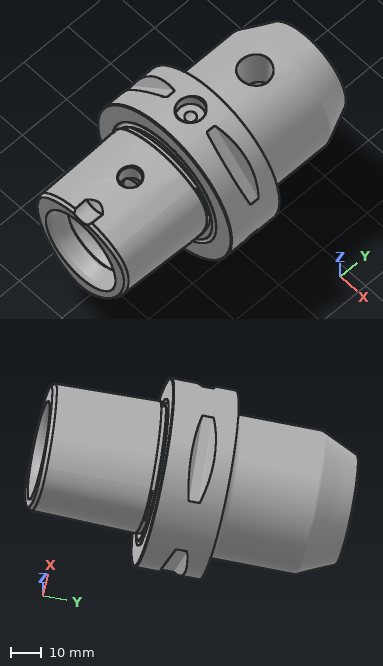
import cadquery as cq
import math

length = 103.0
nose_end = length / 2
shank_end = -length / 2

flange_radius = 31.5
flange_front = -13.5
flange_back = 8.4
flange_chamfer = 0.3

nose_radius = 24.0
nose_tip_radius = 18.3
nose_cone_start = 38.9
nose_tip_chamfer = 0.3
nose_shoulder_fillet = 1.5
nose_root_fillet = 3.0

ring_radius = 22.8
ring_height = 0.3
groove_outer_radius = 24.4
groove_bottom_radius = 23.3
groove_depth = 0.4

shank_start = -15.3
shank_radius = 22.0
shank_taper = 0.025
lobe_height = 1.3
lobe_count = 3
lobe_direction = math.radians(-90)
lobe_half_angle = math.radians(27)
stretch_steps = 16
shank_chamfer_length = 1.3
shank_chamfer_inset = 0.8

neck_inset = 0.2
neck_radius = 22.6
neck_chamfer = 0.7

mouth_radius = 16.4
mouth_inner_radius = 15.2
mouth_chamfer_end = -50.0
lip_radius = 13.7
lip_start = -45.3
lip_end = -43.9
lip_fillet = 1.0
clamp_groove_radius = 16.2
clamp_groove_start = -43.1
clamp_groove_end = -41.1
clamp_groove_fillet = 5.7
drawbar_radius = 13.8
drawbar_start = -37.6
drawbar_end = -24.7
thread_mouth_radius = 10.2
thread_radius = 9.0
thread_end = -8.2
tool_radius = 7.9

screw_y = 27.6
screw_radius = 6.1
chip_radius = 5.0
chip_depth = 4.6
chip_chamfer = 0.4
chip_dimple_radius = 2.1
drill_tip_half_angle = math.radians(59)
shank_hole_y = -29.0
shank_hole_radius = 3.9
shank_hole_chamfer = 0.5
shank_hole_floor = -drawbar_radius

notch_radius = 5.6
notch_floor = 18.0
notch_end = -45.1

slot_y = -1.5
slot_floor = 27.9
slot_floor_width = 3.7
slot_flank_angle = math.radians(29)
slot_corner_fillet = 0.5
slot_count = 4


def turned(points):
    """Revolve a closed (radius, y) outline about the Y axis."""
    return cq.Workplane("XY").polyline(points).close().revolve(360, (0, 0, 0), (0, 1, 0))


def circles_at(y):
    """Select the full circles about the Y axis that lie at the given y."""
    tolerance = 0.1
    low = (-tolerance, y - tolerance, -tolerance)
    high = (tolerance, y + tolerance, tolerance)
    return cq.selectors.BoxSelector(low, high)


def vertical_turned(points, y):
    """Revolve a closed (radius, z) outline about the vertical line x = 0 at the given y."""
    outline = cq.Workplane("XZ", origin=(0, y, 0)).polyline(points).close()
    return outline.revolve(360, (0, 0, 0), (0, 1, 0))


def polygon_wire(y, mean_radius):
    """Three-lobed constant-width outline at the given y, split where lobes and flats meet."""
    def point(angle):
        lobe_angle = lobe_count * (angle - lobe_direction)
        support = mean_radius + lobe_height * math.cos(lobe_angle)
        slope = -lobe_count * lobe_height * math.sin(lobe_angle)
        return cq.Vector(support * math.cos(angle) - slope * math.sin(angle), y,
                         support * math.sin(angle) + slope * math.cos(angle))

    def stretch(start, end):
        step = (end - start) / stretch_steps
        return cq.Edge.makeSpline([point(start + step * index) for index in range(stretch_steps + 1)])

    pitch = 2 * math.pi / lobe_count
    edges = []
    for lobe in range(lobe_count):
        middle = lobe_direction + lobe * pitch
        lobe_end = middle + lobe_half_angle
        edges.append(stretch(middle - lobe_half_angle, lobe_end))
        edges.append(stretch(lobe_end, middle + pitch - lobe_half_angle))
    return cq.Wire.assembleEdges(edges)


def polygon_frustum(y_start, radius_start, y_end, radius_end):
    wires = [polygon_wire(y_start, radius_start), polygon_wire(y_end, radius_end)]
    return cq.Workplane(cq.Solid.makeLoft(wires, True))


def make_nose():
    nose = turned([
        (0, flange_back),
        (nose_radius, flange_back),
        (nose_radius, nose_cone_start),
        (nose_tip_radius, nose_end),
        (0, nose_end),
    ])
    nose = nose.faces(">Y").edges().chamfer(nose_tip_chamfer)
    return nose.edges(circles_at(nose_cone_start)).fillet(nose_shoulder_fillet)


def make_nose_root():
    """Concave ring blending the nose into the flange."""
    bend = nose_root_fillet * (1 - math.sqrt(0.5))
    return (
        cq.Workplane("XY")
        .moveTo(0, flange_back)
        .lineTo(nose_radius + nose_root_fillet, flange_back)
        .threePointArc((nose_radius + bend, flange_back + bend),
                       (nose_radius, flange_back + nose_root_fillet))
        .lineTo(0, flange_back + nose_root_fillet)
        .close()
        .revolve(360, (0, 0, 0), (0, 1, 0))
    )


def make_flange():
    """Flange disc with a shallow round groove around a raised ring on its front face."""
    return (
        cq.Workplane("XY")
        .moveTo(0, flange_front - ring_height)
        .lineTo(ring_radius, flange_front - ring_height)
        .threePointArc((groove_bottom_radius, flange_front + groove_depth),
                       (groove_outer_radius, flange_front))
        .lineTo(flange_radius - flange_chamfer, flange_front)
        .lineTo(flange_radius, flange_front + flange_chamfer)
        .lineTo(flange_radius, flange_back)
        .lineTo(0, flange_back)
        .close()
        .revolve(360, (0, 0, 0), (0, 1, 0))
    )


def make_shank():
    """Tapered polygon with a chamfered end and a turned-down neck."""
    chamfer_start = shank_end + shank_chamfer_length
    end_radius = shank_radius - shank_taper * (shank_start - chamfer_start)
    body = polygon_frustum(shank_start, shank_radius, chamfer_start, end_radius)
    tip = polygon_frustum(chamfer_start, end_radius, shank_end, end_radius - shank_chamfer_inset)

    neck_polygon_radius = shank_radius - neck_inset
    neck_polygon = polygon_frustum(flange_front, neck_polygon_radius, shank_start, neck_polygon_radius)
    neck_envelope = turned([
        (0, flange_front),
        (neck_radius, flange_front),
        (neck_radius, shank_start + neck_chamfer),
        (neck_radius + neck_chamfer, shank_start),
        (0, shank_start),
    ])
    neck = neck_polygon.intersect(neck_envelope)
    return body.union(tip).union(neck)


def make_bores():
    """Clamping bore with its rounded undercut, thread bore and tool bore, all in line."""
    bores = turned([
        (0, shank_end),
        (mouth_radius, shank_end),
        (mouth_inner_radius, mouth_chamfer_end),
        (lip_radius, lip_start),
        (lip_radius, lip_end),
        (clamp_groove_radius, clamp_groove_start),
        (clamp_groove_radius, clamp_groove_end),
        (drawbar_radius, drawbar_start),
        (drawbar_radius, drawbar_end),
        (thread_mouth_radius, drawbar_end),
        (thread_radius, drawbar_end + thread_mouth_radius - thread_radius),
        (thread_radius, thread_end),
        (tool_radius, thread_end + thread_radius - tool_radius),
        (tool_radius, nose_end),
        (0, nose_end),
    ])
    bores = bores.edges(circles_at(lip_end)).fillet(lip_fillet)
    return bores.edges(circles_at(clamp_groove_end)).fillet(clamp_groove_fillet)


def make_clamp_screw_hole():
    """Plain hole from the nose surface into the tool bore."""
    return vertical_turned([
        (0, 0),
        (screw_radius, 0),
        (screw_radius, flange_radius),
        (0, flange_radius),
    ], screw_y)


def make_chip_pocket():
    """Flat pocket in the flange rim with a drilled dimple in its floor."""
    floor = flange_radius - chip_depth
    dimple_depth = chip_dimple_radius / math.tan(drill_tip_half_angle)
    return vertical_turned([
        (0, floor - dimple_depth),
        (chip_dimple_radius, floor),
        (chip_radius, floor),
        (chip_radius, flange_radius - chip_chamfer),
        (chip_radius + chip_chamfer, flange_radius),
        (0, flange_radius),
    ], slot_y)


def make_shank_hole():
    """Chamfered hole through one side of the shank, its drill point cut into the far bore wall."""
    surface = shank_radius - lobe_height - shank_taper * (shank_start - shank_hole_y)
    point_depth = shank_hole_radius / math.tan(drill_tip_half_angle)
    return vertical_turned([
        (0, shank_hole_floor - point_depth),
        (shank_hole_radius, shank_hole_floor),
        (shank_hole_radius, surface - shank_hole_chamfer),
        (shank_hole_radius + shank_hole_chamfer, surface),
        (shank_hole_radius + shank_hole_chamfer, shank_radius),
        (0, shank_radius),
    ], shank_hole_y)


def make_notch():
    """Round-bottomed notch with a 45 degree conical end, running along Y."""
    tool = turned([
        (0, shank_end),
        (notch_radius, shank_end),
        (notch_radius, notch_end),
        (0, notch_end + notch_radius),
    ])
    return tool.translate((0, 0, notch_floor + notch_radius))


def make_slots():
    """Trapezoidal slots cut straight across the rim, on the diagonals between X and Z."""
    depth = flange_radius - slot_floor
    half_floor = slot_floor_width / 2
    half_mouth = half_floor + depth * math.tan(slot_flank_angle)
    slot = (
        cq.Workplane("XY")
        .polyline([
            (slot_floor, slot_y - half_floor),
            (flange_radius, slot_y - half_mouth),
            (flange_radius, slot_y + half_mouth),
            (slot_floor, slot_y + half_floor),
        ])
        .close()
        .extrude(flange_radius, both=True)
        .edges("|Z")
        .edges("<X")
        .fillet(slot_corner_fillet)
    )
    pitch = 360 / slot_count
    slots = cq.Workplane("XY")
    for index in range(slot_count):
        slots = slots.union(slot.rotate((0, 0, 0), (0, 1, 0), pitch * (index + 0.5)))
    return slots


result = make_flange().union(make_nose()).union(make_nose_root()).union(make_shank())
for cutter in (
    make_bores(),
    make_clamp_screw_hole(),
    make_chip_pocket(),
    make_shank_hole(),
    make_notch(),
    make_slots(),
):
    result = result.cut(cutter)